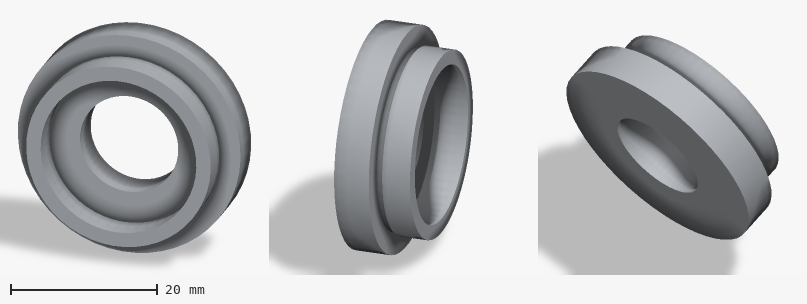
import cadquery as cq

flange_diameter = 31.75
lip_diameter = 26.3
recess_diameter = 22.2
neck_groove_depth = 0.38
undercut_depth = 0.5
neck_diameter = lip_diameter - 2 * neck_groove_depth
undercut_diameter = recess_diameter + 2 * undercut_depth
bore_diameter = 14.0

total_length = 10.0
flange_length = total_length / 2
neck_length = 1.0
lip_length = total_length - flange_length - neck_length
recess_depth = lip_length + neck_length

front_y = -total_length / 2


def disc(diameter, start, length):
    """Solid cylinder along +Y, starting a given distance behind the front face."""
    start_point = cq.Vector(0, front_y + start, 0)
    return cq.Workplane(cq.Solid.makeCylinder(diameter / 2, length, start_point, cq.Vector(0, 1, 0)))


lip = disc(lip_diameter, 0, lip_length)
neck = disc(neck_diameter, lip_length, neck_length)
flange = disc(flange_diameter, lip_length + neck_length, flange_length)
body = lip.union(neck).union(flange)

recess = disc(recess_diameter, 0, recess_depth)
undercut = disc(undercut_diameter, lip_length, neck_length)
bore = disc(bore_diameter, 0, total_length)
result = body.cut(recess).cut(undercut).cut(bore)